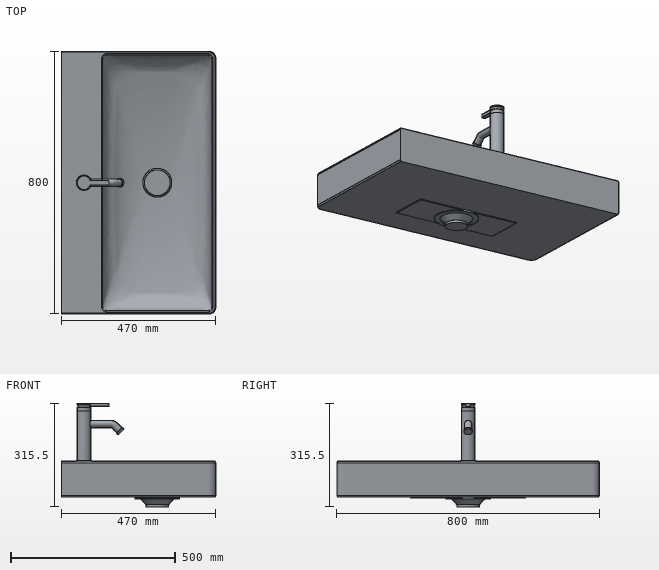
import cadquery as cq
import math


basin_depth = 470.0
basin_width = 800.0
basin_height = 109.5
corner_radius = 21.5
edge_inset = 2.0
edge_band = 5.5

drain_x = 292.0
lip_half = (170.0, 393.5)
lip_corner = 19.0
lip_chamfer = 4.0
crease_half = (125.0, 338.0)
crease_corner = (81.0, 74.0)
crease_bulge = 6.0
crease_depth = 69.5
wall_middle_half = (157.0, 377.5)
wall_middle_corner = (36.0, 36.0)
wall_middle_depth = 37.0
dish_middle_half = (86.0, 192.0)
dish_middle_corner = (68.0, 72.0)
dish_middle_depth = 93.0
floor_radius = 45.0
floor_depth = 104.0

belly_length = 350.0
belly_width = 131.0
belly_drop = 3.0
outlet_flange_radius = 68.0
outlet_flange_drop = 5.5
cone_top_radius = 50.0
outlet_radius = 34.0
cone_drop = 23.0
outlet_drop = 30.0

cover_radius = 44.0
cover_height = 6.0
cover_chamfer = 5.0
cover_seat = 2.0

tap_x = 69.0
base_radius = 23.0
base_height = 2.0
column_radius = 21.0
column_top = 152.0
collar_top = 164.0
cap_foot_radius = 17.0
cap_flare_top = 172.0
tap_top = 176.0
lever_end = 145.5
lever_width = 14.0
lever_thickness = 9.5
lever_tip_radius = 6.0
spout_radius = 11.0
spout_height = 113.0
spout_bend_x = 151.0
bend_radius = 16.0
bend_angle = 45.0
nozzle_lead = 20.0
aerator_radius = 13.0
aerator_length = 6.0


def disc(x, radius, bottom, top):
    """Upright cylinder on the centre plane."""
    return cq.Workplane("XY", origin=(x, 0, bottom)).circle(radius).extrude(top - bottom)


def cone(x, bottom_radius, top_radius, bottom, top):
    """Upright truncated cone on the centre plane."""
    solid = cq.Solid.makeCone(
        bottom_radius, top_radius, top - bottom, pnt=cq.Vector(x, 0, bottom), dir=cq.Vector(0, 0, 1)
    )
    return cq.Workplane(solid)


def bowl_outline(half_x, half_y, corner_x, corner_y, bulge, z):
    """Closed eight-edge outline around the drain, with rounded corners and bowed long sides."""
    flat_x = half_x - corner_x
    flat_y = half_y - corner_y
    diagonal_x = flat_x + corner_x * math.sqrt(0.5)
    diagonal_y = flat_y + corner_y * math.sqrt(0.5)

    def point(x, y):
        return cq.Vector(drain_x + x, y, z)

    def edge(start, middle, end):
        return cq.Edge.makeThreePointArc(point(*start), point(*middle), point(*end))

    def long_side(sign):
        start = (sign * half_x, -sign * flat_y)
        end = (sign * half_x, sign * flat_y)
        if bulge == 0:
            return cq.Edge.makeLine(point(*start), point(*end))
        return edge(start, (sign * (half_x + bulge), 0), end)

    edges = []
    for sign in (1, -1):
        side_end = (sign * half_x, sign * flat_y)
        end_start = (sign * flat_x, sign * half_y)
        end_finish = (-sign * flat_x, sign * half_y)
        next_side = (-sign * half_x, sign * flat_y)
        edges.append(long_side(sign))
        edges.append(edge(side_end, (sign * diagonal_x, sign * diagonal_y), end_start))
        edges.append(cq.Edge.makeLine(point(*end_start), point(*end_finish)))
        edges.append(edge(end_finish, (-sign * diagonal_x, sign * diagonal_y), next_side))
    return cq.Wire.assembleEdges(edges)


def lip_outline(inset, z):
    return bowl_outline(
        lip_half[0] - inset, lip_half[1] - inset, lip_corner - inset, lip_corner - inset, 0, z
    )


def floor_outline():
    """Floor circle around the drain, split into the same eight edges as the other outlines."""
    flat = floor_radius * math.sin(math.pi / 8)
    half = floor_radius * math.cos(math.pi / 8)
    edges = []
    corners = [
        (half, -flat), (half, flat), (flat, half), (-flat, half),
        (-half, flat), (-half, -flat), (-flat, -half), (flat, -half),
    ]
    for index, start in enumerate(corners):
        end = corners[(index + 1) % len(corners)]
        middle_angle = index * math.pi / 4
        middle = (floor_radius * math.cos(middle_angle), floor_radius * math.sin(middle_angle))
        points = [cq.Vector(drain_x + x, y, -floor_depth) for x, y in (start, middle, end)]
        edges.append(cq.Edge.makeThreePointArc(*points))
    return cq.Wire.assembleEdges(edges)


def make_bowl():
    """Hollow of the basin, as stacked solids: chamfered lip, steep wall, then a shallow dish to the drain."""
    top = lip_outline(0, 0)
    wall_top = lip_outline(lip_chamfer, -lip_chamfer)
    wall_middle = bowl_outline(*wall_middle_half, *wall_middle_corner, crease_bulge / 2, -wall_middle_depth)
    crease = bowl_outline(*crease_half, *crease_corner, crease_bulge, -crease_depth)
    dish_middle = bowl_outline(*dish_middle_half, *dish_middle_corner, crease_bulge, -dish_middle_depth)
    lip = cq.Solid.makeLoft([top, wall_top], True)
    wall = cq.Solid.makeLoft([wall_top, wall_middle, crease], False)
    dish = cq.Solid.makeLoft([crease, dish_middle, floor_outline()], False)
    return [cq.Workplane(part) for part in (lip, wall, dish)]


def make_block():
    """Outer block: sharp at the wall, rounded front corners, sloped bands along ends and front."""
    def outline(inset, z):
        corner = corner_radius - inset
        front = basin_depth - inset
        side = basin_width / 2 - inset
        arc_gap = corner * (1 - math.sqrt(0.5))
        return (
            cq.Workplane("XY", origin=(0, 0, z))
            .moveTo(0, -side)
            .lineTo(front - corner, -side)
            .threePointArc((front - arc_gap, arc_gap - side), (front, corner - side))
            .lineTo(front, side - corner)
            .threePointArc((front - arc_gap, side - arc_gap), (front - corner, side))
            .lineTo(0, side)
            .close()
            .wires()
            .val()
        )

    levels = [
        (edge_inset, -basin_height),
        (0, edge_band - basin_height),
        (0, -edge_band),
        (edge_inset, 0),
    ]
    return cq.Workplane(cq.Solid.makeLoft([outline(inset, z) for inset, z in levels], True))


def make_basin():
    basin = make_block()
    belly = (
        cq.Workplane("XY", origin=(drain_x, 0, -basin_height))
        .rect(belly_width, belly_length)
        .extrude(-belly_drop)
    )
    flange_bottom = -basin_height - outlet_flange_drop
    cone_bottom = -basin_height - cone_drop
    basin = basin.union(belly)
    basin = basin.union(disc(drain_x, outlet_flange_radius, flange_bottom, -basin_height))
    basin = basin.union(cone(drain_x, outlet_radius, cone_top_radius, cone_bottom, flange_bottom))
    basin = basin.union(disc(drain_x, outlet_radius, -basin_height - outlet_drop, cone_bottom))
    for hollow in make_bowl():
        basin = basin.cut(hollow)
    return basin.cut(disc(drain_x, cover_radius, -floor_depth - cover_seat, -floor_depth))


def make_drain_cover():
    bottom = -floor_depth - cover_seat
    return disc(drain_x, cover_radius, bottom, bottom + cover_height).faces(">Z").chamfer(cover_chamfer)


def make_handle():
    """Flared cap with a flat lever reaching forward, its tip rounded."""
    cap = cone(tap_x, cap_foot_radius, column_radius, collar_top, cap_flare_top)
    cap = cap.union(disc(tap_x, column_radius, cap_flare_top, tap_top))
    lever = (
        cq.Workplane("XY", origin=(tap_x, 0, tap_top - lever_thickness))
        .box(lever_end - tap_x, lever_width, lever_thickness, centered=(False, True, False))
        .edges("|Z and >X")
        .fillet(lever_tip_radius)
    )
    return cap.union(lever)


def make_spout(column):
    """Round tube leaving the column level, then bending down towards the drain."""
    bend = math.radians(bend_angle)
    centre_z = spout_height - bend_radius

    def on_bend(angle):
        return (spout_bend_x + bend_radius * math.sin(angle), centre_z + bend_radius * math.cos(angle))

    bend_end = on_bend(bend)
    tip = (bend_end[0] + nozzle_lead * math.cos(bend), bend_end[1] - nozzle_lead * math.sin(bend))
    path = (
        cq.Workplane("XZ")
        .moveTo(tap_x, spout_height)
        .lineTo(spout_bend_x, spout_height)
        .threePointArc(on_bend(bend / 2), bend_end)
        .lineTo(*tip)
    )
    tube = cq.Workplane("YZ", origin=(tap_x, 0, spout_height)).circle(spout_radius).sweep(path)
    aerator = cq.Solid.makeCylinder(
        aerator_radius,
        aerator_length,
        pnt=cq.Vector(tip[0], 0, tip[1]),
        dir=cq.Vector(math.cos(bend), 0, -math.sin(bend)),
    )
    return tube.cut(column), cq.Workplane(aerator)


basin = make_basin()
drain_cover = make_drain_cover()
base = disc(tap_x, base_radius, 0, base_height)
column = disc(tap_x, column_radius, base_height, column_top)
collar = disc(tap_x, column_radius, column_top, collar_top)
handle = make_handle()
spout, aerator = make_spout(column)

bodies = [basin, drain_cover, base, column, collar, handle, spout, aerator]
result = cq.Compound.makeCompound([body.solids().val() for body in bodies])